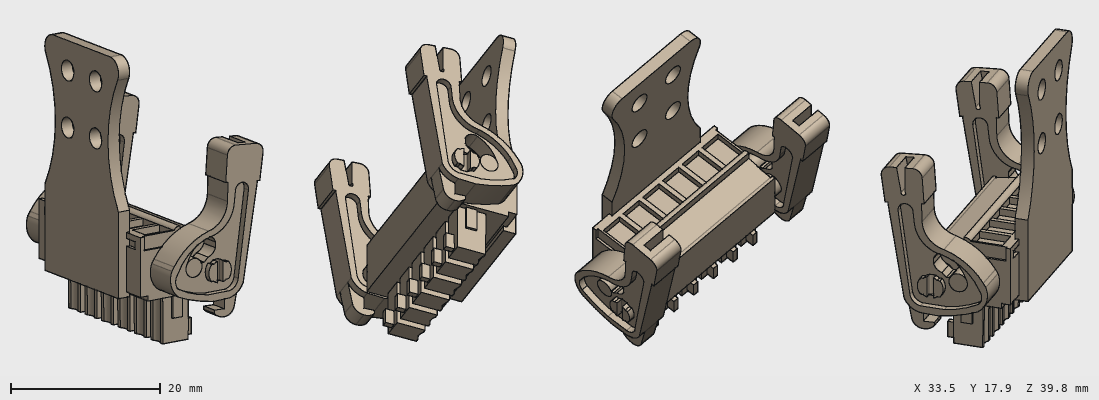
import cadquery as cq
import math

positions = 6
pitch = 3.8

housing_half = 11.75
housing_bottom = 6.65
housing_top = 15.62
housing_front = -7.65
housing_back = 3.55
step_top = 7.35
step_back = -6.4
ledge_width = 0.35
ledge_floor = 13.7
ledge_front = -7.0
back_rim = 0.48
back_rim_top = 14.25
slope_top = 14.85
ridge_back = -0.9
ridge_front = -1.85
ridge_back_top = 16.1
ridge_crown = (-1.4, 16.05)
window_width = 3.1
window_back = -1.85
window_front = -6.3
window_depth = 1.0
slot_half = 10.5
slot_top = 14.8
slot_bottom = 13.7
slot_depth = 0.5
tab_thickness = 0.3
tab_back = -0.4
tab_front = -2.0
tab_bottom = 3.4

plate_front = -8.95
plate_back = -7.1
plate_half = 8.55
plate_top = 39.75
plate_corner = 1.95
waist_half = 6.12
waist_low = 18.65
waist_high = 36.9
waist_high_half = 8.35
plate_hole = 2.85
plate_hole_gap_x = 6.48
plate_hole_gap_z = 7.9
plate_hole_low = 27.65

post_width = 2.85
post_back = 0.8
post_front = -3.4
post_draft = 0.3
groove_width = 1.75
groove_depth = 0.3
key_width = 0.8
key_root = 0.4
key_back = 2.0
key_bottom = 0.3
key_top = 2.6

lever_inner = 12.05
lever_outer = 16.75
web_recess = 1.0
lever_foot = 6.65
head_corner = 1.27
head_back_top = (9.1, 27.25)
head_front_top = (3.18, 27.8)
head_back_step = (8.4, 22.1)
head_front_step = (2.82, 22.75)
arm_end = 23.85
heel = (5.7, 8.43)
toe_y = 3.35
finger_slot_depth = 3.6
finger_slot_front = 5.55
finger_slot_mouth = 28.22
hook_width = 2.5
hook_root = 7.95

pivot = (2.0, 10.5)
pivot_radius = 1.55
head_radius = 1.83
head_half_height = 1.2
head_thickness = 0.87
slit_width = 0.95
slit_depth = 1.35
guide = (-1.65, 11.4)
guide_radius = 1.3

lever_width = lever_outer - lever_inner
web_outer = lever_outer - web_recess
post_xs = [(i - (positions - 1) / 2) * pitch for i in range(positions)]


def box(x0, x1, y0, y1, z0, z1):
    return cq.Workplane("XY").box(x1 - x0, y1 - y0, z1 - z0, centered=False).translate((x0, y0, z0))


def rod(centre, radius, x0, x1):
    return cq.Workplane("YZ", origin=(x0, 0, 0)).center(*centre).circle(radius).extrude(x1 - x0)


def housing_shell():
    """Housing block with a sloped back, side ledges and a rounded ridge between the ledges."""
    profile = [
        (housing_back, housing_bottom),
        (housing_back, back_rim_top),
        (housing_back - back_rim, back_rim_top),
        (ridge_back, slope_top),
        (ridge_back, housing_top),
        (housing_front, housing_top),
        (housing_front, step_top),
        (step_back, step_top),
        (step_back, housing_bottom),
    ]
    shell = cq.Workplane("YZ", origin=(-housing_half, 0, 0)).polyline(profile).close()
    shell = shell.extrude(2 * housing_half)
    ledge_end = housing_half - ledge_width
    for x0, x1 in ((-housing_half, -ledge_end), (ledge_end, housing_half)):
        shell = shell.cut(box(x0, x1, ledge_front, housing_back - back_rim, ledge_floor, housing_top))
    ridge = (
        cq.Workplane("YZ", origin=(-ledge_end, 0, 0))
        .moveTo(ridge_back, housing_top)
        .lineTo(ridge_back, ridge_back_top)
        .threePointArc(ridge_crown, (ridge_front, housing_top))
        .close()
        .extrude(2 * ledge_end)
    )
    return shell.union(ridge)


def pivot_pin():
    """Right-hand pivot: round shaft and flattened snap head, split by a round-bottomed slit."""
    tip = web_outer + head_thickness
    head = rod(pivot, head_radius, web_outer, tip)
    flats = box(web_outer, tip, pivot[0] - head_radius, pivot[0] + head_radius,
                pivot[1] - head_half_height, pivot[1] + head_half_height)
    pin = rod(pivot, pivot_radius, housing_half, tip).union(head.intersect(flats))
    slit_end = tip - slit_depth + slit_width / 2
    slit = box(slit_end, tip, pivot[0] - slit_width / 2, pivot[0] + slit_width / 2,
               pivot[1] - head_radius, pivot[1] + head_radius)
    bottom = cq.Workplane("XY", origin=(slit_end, pivot[0], pivot[1] - head_radius))
    bottom = bottom.circle(slit_width / 2).extrude(2 * head_radius)
    return pin.cut(slit).cut(bottom)


def make_housing():
    """Shell with a wire window per position, the plate seat and mirrored tabs and pins on both ends."""
    body = housing_shell()
    for x in post_xs:
        body = body.cut(box(x - window_width / 2, x + window_width / 2, window_front, window_back,
                            housing_top - window_depth, housing_top))
    body = body.cut(box(-plate_half, plate_half, housing_front, plate_back, housing_bottom, housing_top))
    body = body.cut(box(-slot_half, slot_half, housing_front, housing_front + slot_depth,
                        slot_bottom, slot_top))
    tab_inner = post_xs[-1] + post_width / 2
    tab = box(tab_inner, tab_inner + tab_thickness, tab_front, tab_back, tab_bottom, housing_bottom)
    guide_pin = rod(guide, guide_radius, housing_half, web_outer)
    for feature in (tab, pivot_pin(), guide_pin):
        body = body.union(feature).union(feature.mirror("YZ"))
    return body


def make_plate():
    waist_mid = (waist_low + waist_high) / 2
    diagonal = plate_corner * math.sqrt(0.5)
    flat_half = plate_half - plate_corner
    corner_z = plate_top - plate_corner
    outline = (
        cq.Workplane("XZ", origin=(0, plate_back, 0))
        .moveTo(-plate_half, housing_bottom)
        .lineTo(plate_half, housing_bottom)
        .lineTo(plate_half, waist_low)
        .threePointArc((waist_half, waist_mid), (waist_high_half, waist_high))
        .threePointArc((flat_half + diagonal, corner_z + diagonal), (flat_half, plate_top))
        .lineTo(-flat_half, plate_top)
        .threePointArc((-flat_half - diagonal, corner_z + diagonal), (-waist_high_half, waist_high))
        .threePointArc((-waist_half, waist_mid), (-plate_half, waist_low))
        .close()
    )
    plate = outline.extrude(plate_back - plate_front)
    holes = (
        cq.Workplane("XZ", origin=(0, plate_back, plate_hole_low + plate_hole_gap_z / 2))
        .rarray(plate_hole_gap_x, plate_hole_gap_z, 2, 2)
        .circle(plate_hole / 2)
        .extrude(plate_back - plate_front)
    )
    return plate.cut(holes)


def make_post(x):
    """Slightly tapered post with a shallow groove in front and a small key behind."""
    depth = post_back - post_front
    body = cq.Workplane("XY", origin=(x, post_front + depth / 2, housing_bottom))
    body = body.rect(post_width, depth).extrude(-housing_bottom, taper=post_draft)
    radius = (groove_width ** 2 / 4 + groove_depth ** 2) / (2 * groove_depth)
    groove = cq.Workplane("XY", origin=(x, post_front + groove_depth - radius, 0))
    body = body.cut(groove.circle(radius).extrude(housing_bottom))
    key = box(x - key_width / 2, x + key_width / 2, post_back - key_root, key_back, key_bottom, key_top)
    return body.union(key)


def lever_arm():
    """Arm outline in the Y-Z plane: long back edge, cam-shaped foot and concave neck."""
    return (
        cq.Workplane("YZ")
        .moveTo(7.65, arm_end)
        .lineTo(8.0, 22.05)
        .lineTo(*heel)
        .threePointArc((4.9, 7.35), (toe_y, lever_foot))
        .lineTo(0.8, 6.55)
        .threePointArc((-2.05, 7.1), (-4.85, 8.05))
        .threePointArc((-6.15, 10.15), (-5.95, 11.85))
        .lineTo(-5.6, 12.4)
        .threePointArc((-3.1, 15.0), (0, 16.45))
        .threePointArc((2.05, 17.6), (3.1, 20.07))
        .lineTo(3.2, arm_end)
        .close()
        .extrude(lever_width)
    )


def lever_head():
    head = (
        cq.Workplane("YZ")
        .polyline([head_back_step, head_back_top, head_front_top, head_front_step])
        .close()
        .extrude(lever_width)
    )
    return head.edges("|X and (>Z or >Y)").fillet(head_corner)


def lever_pocket():
    """Recess that leaves a raised rim round a thinner web."""
    return (
        cq.Workplane("YZ")
        .moveTo(6.5, 21.1)
        .lineTo(4.85, 9.15)
        .threePointArc((4.37, 8.15), (3.35, 7.65))
        .lineTo(-0.08, 7.65)
        .threePointArc((-2.35, 8.1), (-4.85, 9.15))
        .threePointArc((-5.35, 10.15), (-5.13, 11.1))
        .lineTo(-4.37, 12.4)
        .threePointArc((-2.5, 14.3), (0.25, 15.62))
        .threePointArc((3.15, 17.17), (4.2, 19.7))
        .lineTo(4.4, 21.5)
        .threePointArc((5.5, 22.35), (6.5, 21.1))
        .close()
        .extrude(web_recess)
    )


def lever_hook():
    return (
        cq.Workplane("YZ", origin=((lever_width - hook_width) / 2, 0, 0))
        .moveTo(*heel)
        .lineTo(5.0, 5.13)
        .threePointArc((4.4, 4.15), (toe_y, 3.78))
        .threePointArc((2.42, 3.98), (1.75, 4.5))
        .lineTo(1.75, 4.95)
        .lineTo(toe_y, 4.9)
        .lineTo(toe_y, hook_root)
        .close()
        .extrude(hook_width)
    )


def finger_slot():
    return (
        cq.Workplane("YZ")
        .moveTo(6.88, finger_slot_mouth)
        .lineTo(6.1, 23.9)
        .threePointArc((5.75, 23.55), (finger_slot_front, 24.1))
        .lineTo(finger_slot_front, finger_slot_mouth)
        .close()
        .extrude(finger_slot_depth)
    )


def guide_track():
    """Curved opening in the web; the guide pin rests in its round lower end."""
    track = (
        cq.Workplane("YZ")
        .moveTo(guide[0] - guide_radius, guide[1])
        .threePointArc((-1.95, 13.65), (0.05, 15.25))
        .threePointArc((1.1, 15.25), (1.83, 14.43))
        .lineTo(1.83, 13.65)
        .threePointArc((1.35, 12.9), (0.65, 12.52))
        .lineTo(0, 11.92)
        .lineTo(-0.35, 11.92)
        .lineTo(*guide)
        .close()
        .extrude(lever_width)
    )
    return track.union(rod(guide, guide_radius, 0, lever_width))


def make_lever(x):
    """One lever shape serves both ends, so its web is recessed from both faces."""
    lever = lever_arm().union(lever_head()).union(lever_hook())
    pocket = lever_pocket()
    lever = lever.cut(pocket).cut(pocket.translate((lever_width - web_recess, 0, 0)))
    lever = lever.cut(finger_slot()).cut(guide_track())
    lever = lever.cut(rod(pivot, pivot_radius, 0, lever_width))
    return lever.translate((x, 0, 0))


housing = make_housing()
plate = make_plate()
posts = [make_post(x) for x in post_xs]
levers = [make_lever(x) for x in (-lever_outer, lever_inner)]

bodies = [housing, plate, *posts, *levers]
result = cq.Compound.makeCompound([body.solids().val() for body in bodies])